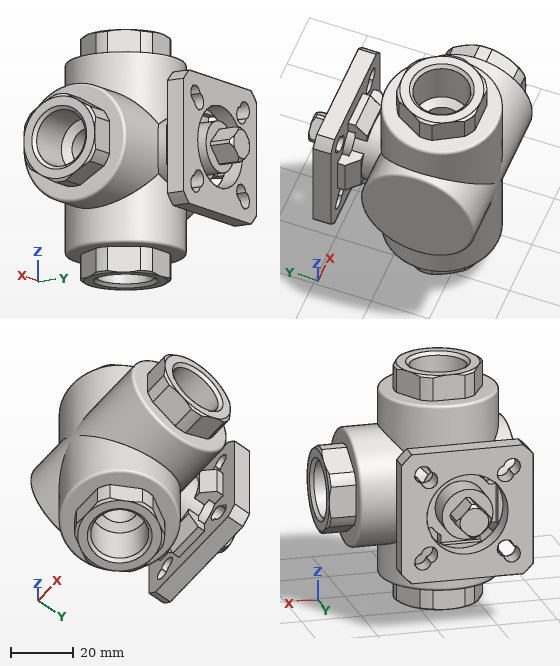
import cadquery as cq
import math

body_diameter = 39.0
body_half_height = 31.5
body_left = 22.0
body_right = 31.0
body_fillet = 1.0

port_reach = 40.0
port_flats = 27.0
port_corner_diameter = 29.0
hexagon_turn = 30
port_chamfer_angle = 30

thread_diameter = 18.6
thread_mouth_diameter = 20.9
thread_depth = 16.0
flow_diameter = 12.7
drill_point_angle = 120

neck_diameter = 23.0
neck_end = 27.4
collar_diameter = 17.0
bracket_start = 23.3
bracket_outer = 16.1
bracket_inner = 11.9
bracket_width = 13.0
bracket_bevel = 4.0
plate_start = 29.8
plate_end = 36.0
plate_side = 44.0
plate_corner_diameter = 57.6
plate_bore_diameter = 27.0

mounting_hole_diameter = 5.5
mounting_circle_diameters = (36.0, 42.0)

stem_end = 44.2
stem_flats = 9.0
stem_corner_diameter = 11.6
stem_chamfer = 1.0


def cylinder_along_y(diameter, start, end):
    return cq.Workplane("XZ", origin=(0, start, 0)).circle(diameter / 2).extrude(start - end)


def make_body():
    """Vertical run and horizontal branch, crossing at the origin."""
    run = cq.Workplane("XY").circle(body_diameter / 2).extrude(body_half_height, both=True)
    branch = (
        cq.Workplane("YZ", origin=(-body_left, 0, 0))
        .circle(body_diameter / 2)
        .extrude(body_left + body_right)
    )
    return run.edges().fillet(body_fillet).union(branch.edges().fillet(body_fillet))


def make_port():
    """Hexagonal port along +Z, with its flats facing +Y and -Y."""
    hexagon = (
        cq.Workplane("XY")
        .transformed(rotate=(0, 0, hexagon_turn))
        .polygon(6, port_flats, circumscribed=True)
        .extrude(port_reach)
    )
    corner_radius = port_corner_diameter / 2
    end_radius = port_flats / 2
    chamfer_height = (corner_radius - end_radius) * math.tan(math.radians(port_chamfer_angle))
    envelope = (
        cq.Workplane("XZ")
        .moveTo(0, 0)
        .lineTo(corner_radius, 0)
        .lineTo(corner_radius, port_reach - chamfer_height)
        .lineTo(end_radius, port_reach)
        .lineTo(0, port_reach)
        .close()
        .revolve(360, (0, 0, 0), (0, 1, 0))
    )
    return hexagon.intersect(envelope)


def make_port_bore():
    """Chamfered threaded bore along +Z that narrows to the flow passage."""
    flow_radius = flow_diameter / 2
    thread_radius = thread_diameter / 2
    mouth_radius = thread_mouth_diameter / 2
    thread_bottom = port_reach - thread_depth
    cone_height = (thread_radius - flow_radius) / math.tan(math.radians(drill_point_angle / 2))
    return (
        cq.Workplane("XZ")
        .moveTo(0, 0)
        .lineTo(flow_radius, 0)
        .lineTo(flow_radius, thread_bottom - cone_height)
        .lineTo(thread_radius, thread_bottom)
        .lineTo(thread_radius, port_reach - (mouth_radius - thread_radius))
        .lineTo(mouth_radius, port_reach)
        .lineTo(0, port_reach)
        .close()
        .revolve(360, (0, 0, 0), (0, 1, 0))
    )


def on_every_port(shape):
    """Copies of a shape along +Z, turned to the +Z, +X and -Z ports."""
    return [shape.rotate((0, 0, 0), (0, 1, 0), angle) for angle in (0, 90, 180)]


def make_bracket():
    """Hooked arm on the +X side that joins the neck to the plate."""
    return (
        cq.Workplane("XY", origin=(0, 0, -bracket_width / 2))
        .moveTo(0, bracket_start)
        .lineTo(bracket_outer - bracket_bevel, bracket_start)
        .lineTo(bracket_outer, bracket_start + bracket_bevel)
        .lineTo(bracket_outer, plate_start)
        .lineTo(bracket_inner, plate_start)
        .lineTo(bracket_inner, neck_end)
        .lineTo(0, neck_end)
        .close()
        .extrude(bracket_width)
    )


def make_plate():
    """Square plate with rounded corners, a central bore and paired corner holes."""
    square = cq.Workplane("XY").box(plate_side, plate_end - plate_start, plate_side)
    square = square.translate((0, (plate_start + plate_end) / 2, 0))
    plate = square.intersect(cylinder_along_y(plate_corner_diameter, plate_start, plate_end))
    plate = plate.cut(cylinder_along_y(plate_bore_diameter, plate_start, plate_end))
    for circle_diameter in mounting_circle_diameters:
        holes = (
            cq.Workplane("XZ", origin=(0, plate_start, 0))
            .polarArray(circle_diameter / 2, 45, 360, 4)
            .circle(mounting_hole_diameter / 2)
            .extrude(plate_start - plate_end)
        )
        plate = plate.cut(holes)
    return plate


def make_stem():
    """Square stem standing on edge, its corners turned down to a chamfered round."""
    length = stem_end - plate_end
    square = cq.Workplane("XY").box(stem_flats, length, stem_flats)
    square = square.translate((0, plate_end + length / 2, 0)).rotate((0, 0, 0), (0, 1, 0), 45)
    envelope = cylinder_along_y(stem_corner_diameter, plate_end, stem_end)
    return square.intersect(envelope.faces(">Y").chamfer(stem_chamfer))


result = make_body()

result = result.union(cylinder_along_y(neck_diameter, 0, neck_end))
result = result.union(cylinder_along_y(collar_diameter, 0, plate_end))

for quarter_turn in range(4):
    result = result.union(make_bracket().rotate((0, 0, 0), (0, 1, 0), 90 * quarter_turn))
result = result.union(make_plate()).union(make_stem())

for port in on_every_port(make_port()):
    result = result.union(port)
for bore in on_every_port(make_port_bore()):
    result = result.cut(bore)